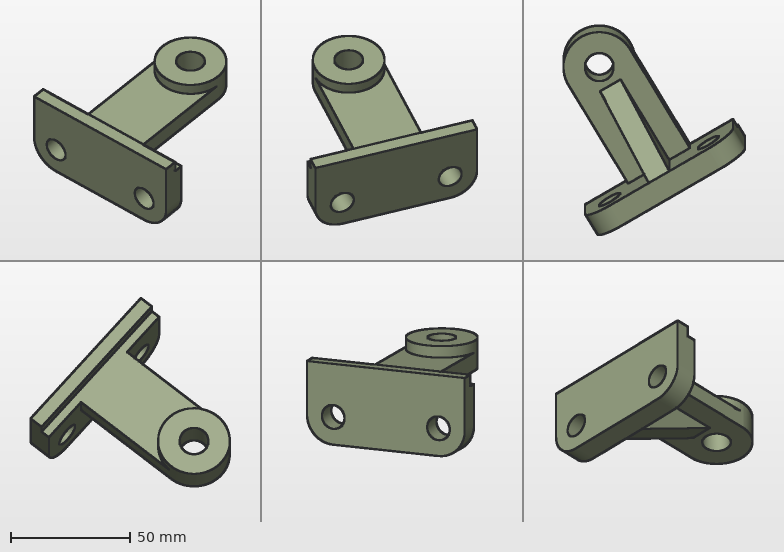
import cadquery as cq

plate_width = 72.0
plate_height = 35.0
plate_thickness = 10.0
corner_radius = 12.0
mount_hole_diameter = 10.2
step_width = 4.0
step_depth = 5.0

overall_length = 74.1
arm_width = 30.0
arm_thickness = 8.0
boss_diameter = 30.1
boss_hole_diameter = 12.0

rib_length = 40.0
rib_width = 10.0

arm_top = plate_height - step_depth
arm_bottom = arm_top - arm_thickness
boss_height = plate_height - arm_bottom
boss_y = overall_length - boss_diameter / 2
mount_hole_x = plate_width / 2 - corner_radius


def make_plate():
    """Plate with rounded lower corners, concentric holes and a stepped top edge."""
    plate = (
        cq.Workplane("XY")
        .box(plate_width, plate_thickness, plate_height, centered=(True, False, False))
        .edges("|Y and <Z")
        .fillet(corner_radius)
    )
    step = (
        cq.Workplane("XY", origin=(0, plate_thickness - step_width, arm_top))
        .box(plate_width, step_width, step_depth, centered=(True, False, False))
    )
    holes = (
        cq.Workplane("XZ")
        .pushPoints([(-mount_hole_x, corner_radius), (mount_hole_x, corner_radius)])
        .circle(mount_hole_diameter / 2)
        .extrude(-plate_thickness)
    )
    return plate.cut(step).cut(holes)


def make_arm():
    """Flat arm from the plate to the centre of the boss."""
    return (
        cq.Workplane("XY", origin=(0, plate_thickness, arm_bottom))
        .box(arm_width, boss_y - plate_thickness, arm_thickness, centered=(True, False, False))
    )


def make_boss():
    """Round boss, flattened on both sides to the width of the arm."""
    side_limits = (
        cq.Workplane("XY", origin=(0, boss_y, arm_bottom))
        .box(arm_width, boss_diameter, boss_height, centered=(True, True, False))
    )
    return (
        cq.Workplane("XY", origin=(0, boss_y, arm_bottom))
        .circle(boss_diameter / 2)
        .extrude(boss_height)
        .intersect(side_limits)
    )


def make_rib():
    """Triangular rib from the bottom of the plate to the underside of the arm."""
    return (
        cq.Workplane("YZ")
        .moveTo(plate_thickness, 0)
        .lineTo(plate_thickness, arm_bottom)
        .lineTo(plate_thickness + rib_length, arm_bottom)
        .close()
        .extrude(rib_width / 2, both=True)
    )


boss_hole = (
    cq.Workplane("XY", origin=(0, boss_y, arm_bottom))
    .circle(boss_hole_diameter / 2)
    .extrude(boss_height)
)

result = make_plate().union(make_arm()).union(make_boss()).union(make_rib()).cut(boss_hole)